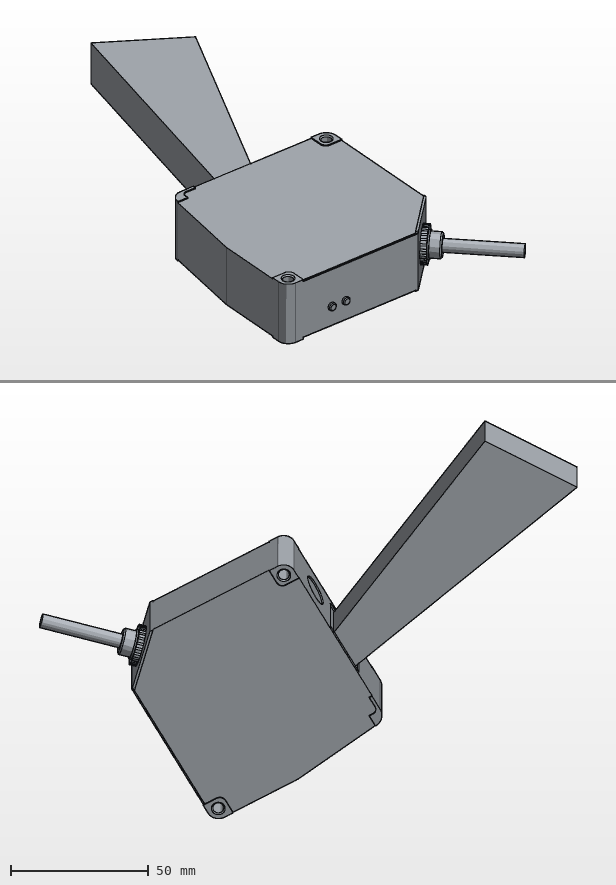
import cadquery as cq
import math


width = 75.0
depth = 78.1
chamfer_leg = 17.2
front_corner_radius = 5.0
corner_radius = 4.4
slope_run = 39.8
slope_angle = math.radians(8)

housing_height = 24.5
pad_height = 25.5
panel_height = 24.0

panel_thickness = 0.5
plate_thickness = 1.0
inner_width = width - panel_thickness

pad_size = 8.0
pad_inner_radius = 2.4
front_strip_width = 1.2
front_strip_length = 16.0
front_block_width = 4.8
front_block_length = 9.5
front_pad_radius = 2.0
hole_offset = 4.2
hole_diameter = 4.0
hole_chamfer = 0.5

recess_depth = 0.5
window_length = 21.0
window_height = 19.8
window_centre_y = 36.2
lens_radius = 5.8
lens_centre_y = 58.0

beam_height = 17.5
beam_far_low = (-105.0, 50.7)
beam_far_high = (-84.9, 83.3)
beam_root_low = (recess_depth, 27.8)
beam_root_high = (recess_depth, 43.3)

cable_angle = 45
nut_radius = 7.5
nut_length = 2.4
notch_count = 24
notch_radius = 0.4
washer_radius = 5.5
washer_length = 0.5
collar_radius = 5.0
collar_length = 4.5
collar_chamfer = 0.5
cable_radius = 2.5
cable_end_x = 92.9

button_radius = 1.5
button_length = 1.2
button_chamfer = 0.4
button_z = -3.5
button_positions_y = (21.0, 27.4)


def slab(sketch, height):
    """Extrude an XY outline to a slab centred on Z = 0."""
    return sketch.extrude(height / 2, both=True)


def block(x_min, x_max, y_min, y_max, height):
    """Make a box from its X and Y limits, centred on Z = 0."""
    box = cq.Workplane("XY").box(x_max - x_min, y_max - y_min, height)
    return box.translate(((x_min + x_max) / 2, (y_min + y_max) / 2, 0))


def outline_slab(height):
    """Full housing outline with its three rounded corners."""
    slope_rise = slope_run * math.tan(slope_angle)
    outline = cq.Workplane("XY").polyline([
        (0, slope_rise),
        (slope_run, 0),
        (width, 0),
        (width, depth - chamfer_leg),
        (width - chamfer_leg, depth),
        (0, depth),
    ]).close()
    body = slab(outline, height)
    body = body.edges(cq.selectors.NearestToPointSelector((0, slope_rise, 0))).fillet(front_corner_radius)
    for corner in ((0, depth, 0), (width, 0, 0)):
        body = body.edges(cq.selectors.NearestToPointSelector(corner)).fillet(corner_radius)
    return body


def corner_pads():
    """Raised pads around the two screw holes and at the front left corner."""
    rear_pad = block(0, pad_size, depth - pad_size, depth, pad_height)
    rear_pad = rear_pad.edges("|Z and >X and <Y").fillet(pad_inner_radius)
    side_pad = block(width - pad_size, width, 0, pad_size, pad_height)
    side_pad = side_pad.edges("|Z and <X and >Y").fillet(pad_inner_radius)
    front_outline = cq.Workplane("XY").polyline([
        (0, 0),
        (front_block_width, 0),
        (front_block_width, front_block_length),
        (front_strip_width, front_block_length),
        (front_strip_width, front_strip_length),
        (0, front_strip_length),
    ]).close()
    front_pad = slab(front_outline, pad_height)
    inner_corner = (front_strip_width, front_block_length, 0)
    front_pad = front_pad.edges(cq.selectors.NearestToPointSelector(inner_corner)).fillet(front_pad_radius)
    return rear_pad.union(side_pad).union(front_pad)


def corner_plate():
    """Full height plate along the chamfered corner, ending at the side panel."""
    plate_leg = plate_thickness * math.sqrt(2)
    plate = cq.Workplane("XY").polyline([
        (inner_width, depth - chamfer_leg + panel_thickness),
        (width - chamfer_leg, depth),
        (width - chamfer_leg - plate_leg, depth),
        (inner_width, depth - chamfer_leg + panel_thickness - plate_leg),
    ]).close()
    return slab(plate, pad_height)


def screw_holes():
    """Two through holes, each with a small chamfer at both ends."""
    radius = hole_diameter / 2
    half = pad_height / 2
    profile = cq.Workplane("XZ").polyline([
        (0, -half),
        (radius + hole_chamfer, -half),
        (radius, -half + hole_chamfer),
        (radius, half - hole_chamfer),
        (radius + hole_chamfer, half),
        (0, half),
    ]).close()
    cutter = profile.revolve(360, (0, 0, 0), (0, 1, 0))
    rear_hole = cutter.translate((hole_offset, depth - hole_offset, 0))
    side_hole = cutter.translate((width - hole_offset, hole_offset, 0))
    return rear_hole.union(side_hole)


def left_recesses():
    """Rectangular beam window and round lens, sunk into the left face."""
    window = block(
        0, recess_depth,
        window_centre_y - window_length / 2, window_centre_y + window_length / 2,
        window_height,
    )
    lens = cq.Workplane("YZ").center(lens_centre_y, 0).circle(lens_radius).extrude(recess_depth)
    return window.union(lens)


def light_beam():
    """Flat wedge that widens away from the window."""
    beam = cq.Workplane("XY").polyline([
        beam_root_low, beam_root_high, beam_far_high, beam_far_low,
    ]).close()
    return slab(beam, beam_height)


def cable_gland():
    """Notched nut, washer, collar and cable, built along X and turned onto the corner."""
    face_x = width - chamfer_leg / 2
    face_y = depth - chamfer_leg / 2
    cable_length = (cable_end_x - face_x) * math.sqrt(2)
    nut = cq.Workplane("YZ").circle(nut_radius).extrude(nut_length)
    notches = (
        cq.Workplane("YZ")
        .polarArray(nut_radius, 0, 360, notch_count)
        .circle(notch_radius)
        .extrude(nut_length)
    )
    washer_end = nut_length + washer_length
    washer = cq.Workplane("YZ").circle(washer_radius).extrude(washer_end)
    collar = cq.Workplane("YZ").circle(collar_radius).extrude(washer_end + collar_length)
    collar = collar.faces(">X").chamfer(collar_chamfer)
    cable = cq.Workplane("YZ").circle(cable_radius).extrude(cable_length)
    gland = nut.cut(notches).union(washer).union(collar).union(cable)
    return gland.rotate((0, 0, 0), (0, 0, 1), cable_angle).translate((face_x, face_y, 0))


def buttons():
    """Two round buttons standing on the side panel."""
    points = [(y, button_z) for y in button_positions_y]
    side_face = cq.Workplane("YZ", origin=(inner_width, 0, 0))
    caps = side_face.pushPoints(points).circle(button_radius).extrude(panel_thickness + button_length)
    return caps.faces(">X").chamfer(button_chamfer)


housing = outline_slab(housing_height).intersect(block(0, inner_width, 0, depth, housing_height))
raised_areas = corner_pads().union(corner_plate())
raised_areas = raised_areas.intersect(outline_slab(pad_height))

result = housing.union(outline_slab(panel_height)).union(raised_areas)
result = result.cut(screw_holes()).cut(left_recesses())
result = result.union(light_beam()).union(cable_gland()).union(buttons())